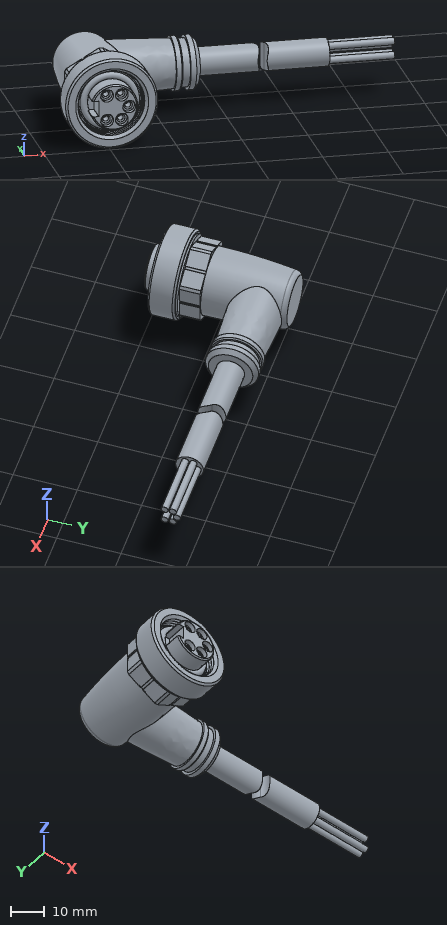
import cadquery as cq
import math


BARREL_BACK_Y = 9.7
BARREL_FRONT_Y = -16.3
BARREL_BACK_RADIUS = 9.2
BARREL_MIDDLE_Y = -3.2
BARREL_MIDDLE_RADIUS = 10.2
BARREL_FRONT_RADIUS = 10.6
BARREL_EDGE_LENGTH = 1.7
BARREL_EDGE_INSET = 1.3

OUTLET_ROOT_RADIUS = 8.6
OUTLET_MIDDLE_X = 12.1
OUTLET_MIDDLE_RADIUS = 8.3
OUTLET_END_X = 24.9
OUTLET_END_RADIUS = 7.6
COLLAR_RADIUS = 8.3
COLLAR_WIDTH = 2.0
COLLAR_CHAMFER = 0.4
GROOVE_RADIUS = 7.3
GROOVE_END_X = 29.3
OUTLET_TIP_X = 32.4
TIP_CHAMFER = 1.4

NUT_DIAMETER = 28.0
NUT_RADIUS = NUT_DIAMETER / 2
NUT_FRONT_Y = -31.8
FLANGE_BACK_Y = -23.4
FLANGE_CHAMFER = 0.6
SHOULDER_BACK_Y = -22.8
SHOULDER_RADIUS = 12.8
HEX_SIDES = 6
HEX_APOTHEM = 11.0
HEX_CORNER_RADIUS = 12.4
FACE_GROOVE_WIDTH = 0.9
FACE_GROOVE_DEPTH = 0.4
THREAD_BORE_RADIUS = 10.1
THREAD_MOUTH_RADIUS = 11.1
THREAD_DEPTH = 0.6
THREAD_PITCH = 1.1
THREAD_TURNS = 4
THREAD_BORE_END_Y = -26.1

NECK_RADIUS = 9.5
NECK_FRONT_Y = -28.4
INSERT_RADIUS = 7.1
INSERT_FRONT_Y = -35.0
INSERT_CHAMFER = 0.4
BEAD_INNER_RADIUS = 6.7
BEAD_OUTER_RADIUS = 9.0
KEYWAY_FLOOR_X = -4.8
KEYWAY_WIDTH = 4.8

CONTACT_RING_RADIUS = 4.5
RING_PLACES = 6
EMPTY_PLACE = 3
CONTACT_BORE_RADIUS = 1.9
CONTACT_BORE_DEPTH = 1.6
CONTACT_HOLE_RADIUS = 0.9
CONTACT_HOLE_DEPTH = 5.3
CONTACT_CHAMFER = 0.4

OVERALL_LENGTH = 106.5
CABLE_RADIUS = 4.4
STUB_END_X = 50.5
TAIL_START_X = 53.2
BREAK_WAVE = 0.7
JACKET_END_X = 72.3
WIRE_END_X = OVERALL_LENGTH - NUT_RADIUS
WIRE_DIAMETER = 2.2
WIRE_RADIUS = WIRE_DIAMETER / 2
WIRE_RING_RADIUS = 2.6


def ring_angles():
    """Angles of the five occupied places, in radians from the first place."""
    step = 2 * math.pi / RING_PLACES
    return [place * step for place in range(RING_PLACES) if place != EMPTY_PLACE]


def cylinder_y(radius, start_y, end_y):
    """Cylinder on the Y axis that runs toward -Y from start_y to end_y."""
    return cq.Workplane("XZ", origin=(0, start_y, 0)).circle(radius).extrude(start_y - end_y)


def cylinder_x(radius, start_x, end_x):
    """Cylinder on the X axis."""
    return cq.Workplane("YZ", origin=(start_x, 0, 0)).circle(radius).extrude(end_x - start_x)


def revolve_about_y(profile):
    """Solid of revolution from an open profile in X and Y, closed along the axis or on itself."""
    return profile.close().revolve(360, (0, 0, 0), (0, 1, 0))



def make_barrel():
    """Slightly bulging body with a rounded back edge."""
    edge_y = BARREL_BACK_Y - BARREL_EDGE_LENGTH
    profile = (
        cq.Workplane("XY")
        .moveTo(0, BARREL_FRONT_Y)
        .lineTo(BARREL_FRONT_RADIUS, BARREL_FRONT_Y)
        .threePointArc((BARREL_MIDDLE_RADIUS, BARREL_MIDDLE_Y), (BARREL_BACK_RADIUS, edge_y))
        .tangentArcPoint((BARREL_BACK_RADIUS - BARREL_EDGE_INSET, BARREL_BACK_Y), relative=False)
        .lineTo(0, BARREL_BACK_Y)
    )
    return revolve_about_y(profile)


def make_outlet():
    """Tapered cable outlet that ends in two collars with a groove between them."""
    collar_end_x = OUTLET_END_X + COLLAR_WIDTH
    profile = (
        cq.Workplane("XY")
        .lineTo(0, OUTLET_ROOT_RADIUS)
        .threePointArc((OUTLET_MIDDLE_X, OUTLET_MIDDLE_RADIUS), (OUTLET_END_X, OUTLET_END_RADIUS))
        .lineTo(OUTLET_END_X, COLLAR_RADIUS)
        .lineTo(collar_end_x - COLLAR_CHAMFER, COLLAR_RADIUS)
        .lineTo(collar_end_x, COLLAR_RADIUS - COLLAR_CHAMFER)
        .lineTo(collar_end_x, GROOVE_RADIUS)
        .lineTo(GROOVE_END_X, GROOVE_RADIUS)
        .lineTo(GROOVE_END_X, COLLAR_RADIUS)
        .lineTo(OUTLET_TIP_X - TIP_CHAMFER, COLLAR_RADIUS)
        .lineTo(OUTLET_TIP_X, COLLAR_RADIUS - TIP_CHAMFER)
        .lineTo(OUTLET_TIP_X, 0)
        .close()
    )
    return profile.revolve(360, (0, 0, 0), (1, 0, 0))


def make_contact_cutter():
    """Stepped socket hole with a countersunk inner hole, opening at the insert front."""
    floor_y = INSERT_FRONT_Y + CONTACT_BORE_DEPTH
    profile = (
        cq.Workplane("XY")
        .moveTo(0, INSERT_FRONT_Y)
        .lineTo(CONTACT_BORE_RADIUS, INSERT_FRONT_Y)
        .lineTo(CONTACT_BORE_RADIUS, floor_y)
        .lineTo(CONTACT_HOLE_RADIUS + CONTACT_CHAMFER, floor_y)
        .lineTo(CONTACT_HOLE_RADIUS, floor_y + CONTACT_CHAMFER)
        .lineTo(CONTACT_HOLE_RADIUS, INSERT_FRONT_Y + CONTACT_HOLE_DEPTH)
        .lineTo(0, INSERT_FRONT_Y + CONTACT_HOLE_DEPTH)
    )
    return revolve_about_y(profile)


def make_insert():
    """Round contact insert with a keyway on its -X side and five socket holes."""
    insert = cylinder_y(INSERT_RADIUS, NECK_FRONT_Y, INSERT_FRONT_Y)
    insert = insert.faces("<Y").chamfer(INSERT_CHAMFER)
    keyway = cq.Workplane("XY").box(
        INSERT_RADIUS, NECK_FRONT_Y - INSERT_FRONT_Y, KEYWAY_WIDTH, centered=(True, False, True)
    )
    insert = insert.cut(keyway.translate((KEYWAY_FLOOR_X - INSERT_RADIUS / 2, INSERT_FRONT_Y, 0)))
    cutter = make_contact_cutter()
    for angle in ring_angles():
        place = (CONTACT_RING_RADIUS * math.cos(angle), 0, CONTACT_RING_RADIUS * math.sin(angle))
        insert = insert.cut(cutter.translate(place))
    return insert


def make_bead():
    """Half-round seal bead on the neck front, around the insert."""
    tube_radius = (BEAD_OUTER_RADIUS - BEAD_INNER_RADIUS) / 2
    profile = (
        cq.Workplane("XY")
        .moveTo(BEAD_INNER_RADIUS, NECK_FRONT_Y)
        .threePointArc(
            (BEAD_INNER_RADIUS + tube_radius, NECK_FRONT_Y - tube_radius),
            (BEAD_OUTER_RADIUS, NECK_FRONT_Y),
        )
    )
    return revolve_about_y(profile)


def make_housing():
    neck = cylinder_y(NECK_RADIUS, BARREL_FRONT_Y, NECK_FRONT_Y)
    body = make_barrel().union(make_outlet()).union(neck)
    return body.union(make_insert()).union(make_bead())



def make_grip():
    """Hexagonal grip with rounded corners and a groove down the middle of each face."""
    length = BARREL_FRONT_Y - SHOULDER_BACK_Y
    face_angle = 360 / HEX_SIDES
    corner_distance = HEX_APOTHEM / math.cos(math.pi / HEX_SIDES)
    hexagon = (
        cq.Workplane("XZ", origin=(0, BARREL_FRONT_Y, 0))
        .polygon(HEX_SIDES, 2 * corner_distance)
        .extrude(length)
        .rotate((0, 0, 0), (0, 1, 0), face_angle / 2)
    )
    grip = hexagon.intersect(cylinder_y(HEX_CORNER_RADIUS, BARREL_FRONT_Y, SHOULDER_BACK_Y))
    groove = cq.Workplane("XY").box(2 * FACE_GROOVE_DEPTH, length, FACE_GROOVE_WIDTH)
    groove = groove.translate((HEX_APOTHEM, (BARREL_FRONT_Y + SHOULDER_BACK_Y) / 2, 0))
    for face in range(HEX_SIDES):
        grip = grip.cut(groove.rotate((0, 0, 0), (0, 1, 0), face * face_angle))
    return grip


def make_thread_cutter():
    """Bore with a flared mouth and V-shaped thread grooves."""
    mouth_depth = THREAD_MOUTH_RADIUS - THREAD_BORE_RADIUS
    profile = (
        cq.Workplane("XY")
        .moveTo(0, NUT_FRONT_Y)
        .lineTo(THREAD_MOUTH_RADIUS, NUT_FRONT_Y)
        .lineTo(THREAD_BORE_RADIUS, NUT_FRONT_Y + mouth_depth)
    )
    for turn in range(THREAD_TURNS):
        groove_y = NUT_FRONT_Y + mouth_depth + turn * THREAD_PITCH
        profile = (
            profile.lineTo(THREAD_BORE_RADIUS + THREAD_DEPTH, groove_y + THREAD_PITCH / 2)
            .lineTo(THREAD_BORE_RADIUS, groove_y + THREAD_PITCH)
        )
    profile = profile.lineTo(THREAD_BORE_RADIUS, THREAD_BORE_END_Y).lineTo(0, THREAD_BORE_END_Y)
    return revolve_about_y(profile)


def make_nut():
    flange = cylinder_y(NUT_RADIUS, FLANGE_BACK_Y, NUT_FRONT_Y)
    flange = flange.faces("<Y or >Y").edges().chamfer(FLANGE_CHAMFER)
    shoulder = cylinder_y(SHOULDER_RADIUS, SHOULDER_BACK_Y, FLANGE_BACK_Y)
    nut = flange.union(shoulder).union(make_grip())
    nut = nut.cut(cylinder_y(NECK_RADIUS, BARREL_FRONT_Y, NUT_FRONT_Y))
    return nut.cut(make_thread_cutter())



def make_break_prism(break_x, end_x):
    """Block from a wavy break near break_x to a flat end at end_x."""
    return (
        cq.Workplane("XY", origin=(0, 0, -CABLE_RADIUS))
        .moveTo(break_x, CABLE_RADIUS)
        .threePointArc((break_x - BREAK_WAVE, CABLE_RADIUS / 2), (break_x, 0))
        .threePointArc((break_x + BREAK_WAVE, -CABLE_RADIUS / 2), (break_x, -CABLE_RADIUS))
        .lineTo(end_x, -CABLE_RADIUS)
        .lineTo(end_x, CABLE_RADIUS)
        .close()
        .extrude(2 * CABLE_RADIUS)
    )


def make_cable_stub():
    """Cable piece that leaves the housing."""
    cable = cylinder_x(CABLE_RADIUS, OUTLET_TIP_X, TAIL_START_X)
    return cable.intersect(make_break_prism(STUB_END_X, OUTLET_TIP_X))


def make_cable_tail():
    """Far cable piece with five stripped wires."""
    cable = cylinder_x(CABLE_RADIUS, STUB_END_X, JACKET_END_X)
    cable = cable.intersect(make_break_prism(TAIL_START_X, JACKET_END_X))
    wire = cylinder_x(WIRE_RADIUS, JACKET_END_X, WIRE_END_X)
    for angle in ring_angles():
        place = (0, WIRE_RING_RADIUS * math.cos(angle), WIRE_RING_RADIUS * math.sin(angle))
        cable = cable.union(wire.translate(place))
    return cable


housing = make_housing()
nut = make_nut()
cable_stub = make_cable_stub()
cable_tail = make_cable_tail()

result = cq.Compound.makeCompound(
    [housing.val(), nut.val(), cable_stub.val(), cable_tail.val()]
)